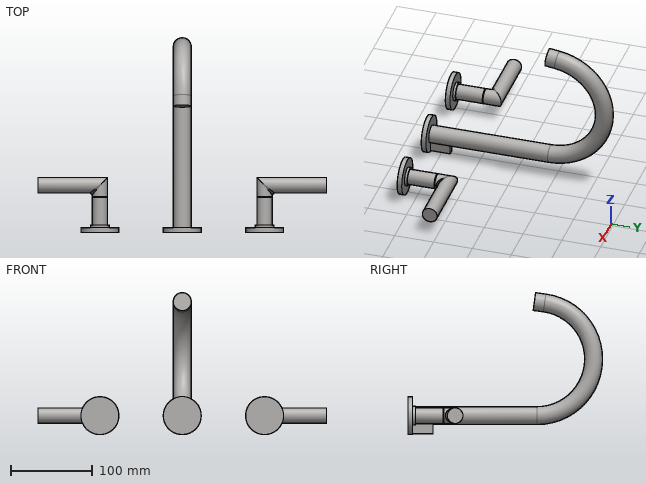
import cadquery as cq
import math

flange_radius = 23.5
flange_thickness = 6.0

spout_diameter = 22.5
spout_radius = spout_diameter / 2
bend_radius = 69.7
overall_depth = 240.0
straight_end = overall_depth - bend_radius - spout_radius
tip_length = 12.8
tip_angle = 7.7

block_width = 7.5
block_length = 25.2
block_bottom = -22.5

overall_width = 355.5
handle_spacing = 101.5
handle_radius = 9.5
arm_y = 58.3
arm_end = overall_width / 2 - handle_spacing
collar_radius = 11.7
collar_length = 3.2
corner_bevel = 2.5
groove_y = 43.5
groove_width = 1.0
groove_depth = 0.5


def y_cylinder(radius, y_start, length):
    """Cylinder along +Y on the local axis, starting at y_start."""
    return cq.Workplane("XZ", origin=(0, y_start, 0)).circle(radius).extrude(-length)


def make_flange():
    return y_cylinder(flange_radius, 0, flange_thickness)


def make_spout():
    """Flange, gooseneck pipe and support block as one body."""
    angle = math.radians(tip_angle)
    bend_end = (
        straight_end + bend_radius * math.sin(angle),
        bend_radius * (1 + math.cos(angle)),
    )
    tip_end = (
        bend_end[0] - tip_length * math.cos(angle),
        bend_end[1] + tip_length * math.sin(angle),
    )
    path = (
        cq.Workplane("YZ")
        .moveTo(0, 0)
        .lineTo(straight_end, 0)
        .threePointArc((straight_end + bend_radius, bend_radius), bend_end)
        .lineTo(*tip_end)
    )
    pipe = cq.Workplane("XZ").circle(spout_radius).sweep(path)
    block = cq.Workplane("XY").box(
        block_width, flange_thickness + block_length, -block_bottom, centered=(True, False, False)
    ).translate((0, 0, block_bottom))
    return make_flange().union(pipe).union(block)


def make_corner_bevel():
    """Filler inside the mitre: widest at the inner corner, fading out at the pipe crowns."""
    reach = handle_radius + corner_bevel
    half_depth = (handle_radius + reach) / math.sqrt(2)
    wedge = (
        cq.Workplane("XY")
        .polyline([(0, arm_y), (handle_radius, arm_y - reach), (reach, arm_y - handle_radius)])
        .close()
        .extrude(handle_radius, both=True)
    )
    across_mitre = cq.Plane(origin=(0, arm_y, 0), xDir=(1, -1, 0), normal=(1, 1, 0))
    rod = cq.Workplane(across_mitre).ellipse(half_depth, handle_radius).extrude(handle_radius, both=True)
    return rod.intersect(wedge)


def make_elbow():
    """Mitred post and arm of equal radius, with the inside corner bevelled."""
    outer_y = arm_y + handle_radius
    post_side = (
        cq.Workplane("XY")
        .polyline([
            (-handle_radius, 0),
            (handle_radius, 0),
            (handle_radius, arm_y - handle_radius),
            (-handle_radius, outer_y),
        ])
        .close()
        .extrude(handle_radius, both=True)
    )
    arm_side = (
        cq.Workplane("XY")
        .polyline([
            (-handle_radius, outer_y),
            (handle_radius, arm_y - handle_radius),
            (arm_end, arm_y - handle_radius),
            (arm_end, outer_y),
        ])
        .close()
        .extrude(handle_radius, both=True)
    )
    post = y_cylinder(handle_radius, 0, outer_y).intersect(post_side)
    arm = (
        cq.Workplane("YZ", origin=(-handle_radius, arm_y, 0))
        .circle(handle_radius)
        .extrude(arm_end + handle_radius)
        .intersect(arm_side)
    )
    return post.union(arm).union(make_corner_bevel())


def make_handle():
    """Handle on the local Y axis with its arm pointing towards +X."""
    groove = y_cylinder(handle_radius, groove_y, groove_width).cut(
        y_cylinder(handle_radius - groove_depth, groove_y, groove_width)
    )
    collar = y_cylinder(collar_radius, flange_thickness, collar_length)
    return make_elbow().cut(groove).union(collar).union(make_flange())


spout = make_spout()
right_handle = make_handle()
handles = [
    right_handle.translate((handle_spacing, 0, 0)),
    right_handle.mirror("YZ").translate((-handle_spacing, 0, 0)),
]

result = cq.Compound.makeCompound([spout.val(), *[handle.val() for handle in handles]])